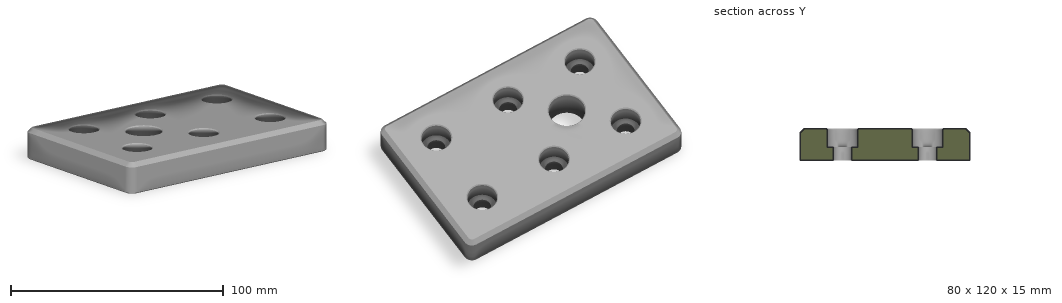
import cadquery as cq

length = 120.0
width = length * 2 / 3
thickness = 15.0
corner_radius = 4.0
top_chamfer = 2.0
bottom_chamfer = 0.5

pitch = length / 3
screw_columns = 2
screw_rows = 3
screw_diameter = 8.4
counterbore_diameter = 14.0
counterbore_depth = 8.5
screw_rim_chamfer = 0.5

bore_diameter = 17.3
bore_y = -pitch / 2
bore_rim_chamfer = 0.5


def make_plate():
    """Rounded rectangular plate standing on Z = 0, with bevelled top and bottom edges."""
    plate = cq.Workplane("XY").box(width, length, thickness, centered=(True, True, False))
    plate = plate.edges("|Z").fillet(corner_radius)
    plate = plate.faces(">Z").edges().chamfer(top_chamfer)
    return plate.faces("<Z").edges().chamfer(bottom_chamfer)


def rim_cutter(diameter, chamfer):
    """Cone that bevels the rim of a hole at the top face, centred on the Z axis."""
    return (
        cq.Workplane("XY", origin=(0, 0, thickness))
        .circle(diameter / 2 + chamfer)
        .workplane(offset=-chamfer)
        .circle(diameter / 2)
        .loft()
    )


def screw_hole_cutter():
    through = cq.Workplane("XY").circle(screw_diameter / 2).extrude(thickness)
    counterbore = (
        cq.Workplane("XY", origin=(0, 0, thickness))
        .circle(counterbore_diameter / 2)
        .extrude(-counterbore_depth)
    )
    return through.union(counterbore).union(rim_cutter(counterbore_diameter, screw_rim_chamfer))


def bore_cutter():
    through = cq.Workplane("XY").circle(bore_diameter / 2).extrude(thickness)
    return through.union(rim_cutter(bore_diameter, bore_rim_chamfer))


result = make_plate().cut(bore_cutter().translate((0, bore_y, 0)))

screw_hole = screw_hole_cutter()
for column in range(screw_columns):
    for row in range(screw_rows):
        x = (column - (screw_columns - 1) / 2) * pitch
        y = (row - (screw_rows - 1) / 2) * pitch
        result = result.cut(screw_hole.translate((x, y, 0)))